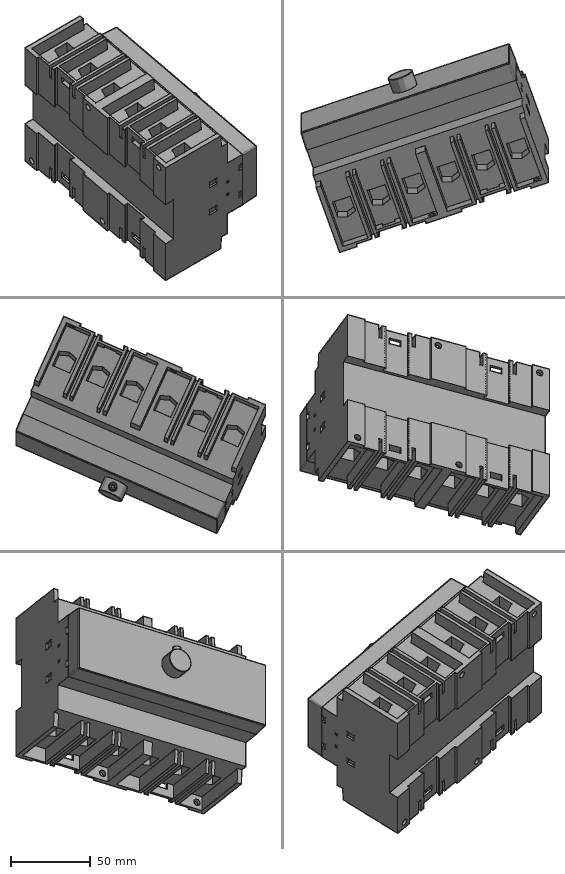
import cadquery as cq


housing_width = 139.7
housing_height = 100.0
wall_front_y = 45.2
wall_front_root_y = 45.9
shoulder_y = 50.5
neck_front_y = 62.8
neck_height = 45.0
terminal_depth = 10.0
terminal_floor_z = housing_height / 2 - terminal_depth

rail_channel_height = 34.6
rail_channel_depth = 6.6
pad_relief = 1.7
centre_pad_width = 24.1
end_pad_width = 11.8

pole_count = 6
pole_pitch = housing_width / pole_count
terminal_width = 16.8
outer_back_wall = 3.1
middle_back_wall = 6.5
back_recess_depth = 4.8
back_recess_lip_width = 15.1
back_recess_lip_y = 2.5
middle_poles = (1, 4)

slot_width = 2.2
slot_offsets = (23.4, 46.4)

clamp_width = 11.9
clamp_rear_y = 19.9
clamp_tip_length = 2.1
clamp_front_y = 30.0
clamp_depth = 12.6
window_width = 8.1
window_height = 4.3
screw_hole_diameter = 4.3
screw_hole_z = 45.0
upper_hole_xs = (-7.2, 63.0)

end_recess_depth = 1.4
latch_length = 6.2
latch_height = 4.8
latch_z = 12.0
latch_y = 39.1
covered_latch_rear_y = 60.2
peg_length = 1.8
peg_height = 1.4
peg_y = 51.2
peg_z = 5.6

cover_width = 140.2
cover_height = neck_height
cover_front_y = 75.0
cover_taper = 2.0
cover_corner_radius = 0.8
cover_chamfer_depth = 0.7
cover_chamfer_inset = 0.4

shaft_diameter = 16.0
shaft_front_y = 84.5
shaft_chamfer = 0.3
screw_diameter = 5.3
screw_bore = 2.5
screw_top_z = 11.2
screw_chamfer = 0.4
screw_y = 80.1


def box(x_range, y_range, z_range):
    """Block between two limits on each axis."""
    lengths = [high - low for low, high in (x_range, y_range, z_range)]
    corner = (x_range[0], y_range[0], z_range[0])
    return cq.Workplane("XY").box(*lengths, centered=False).translate(corner)


def centred(middle, length):
    """Limits of a length placed about a middle value."""
    return (middle - length / 2, middle + length / 2)


def both_sides(shape):
    """The shape and its mirror image in the Z = 0 plane, as one cutter."""
    return shape.union(shape.mirror("XY"))


def pole_x(pole):
    """Middle of a pole, counted from the -X end."""
    return (pole - (pole_count - 1) / 2) * pole_pitch


def housing_block():
    """Stepped side outline, with the rail channel, run along the whole width."""
    top_z = housing_height / 2
    neck_z = neck_height / 2
    rail_z = rail_channel_height / 2
    upper = [
        (rail_channel_depth, rail_z),
        (0, rail_z),
        (0, top_z),
        (wall_front_y, top_z),
        (wall_front_root_y, terminal_floor_z),
        (shoulder_y, terminal_floor_z),
        (shoulder_y, neck_z),
        (neck_front_y, neck_z),
    ]
    lower = [(y, -z) for y, z in reversed(upper)]
    outline = cq.Workplane("YZ").polyline(upper + lower).close()
    return outline.extrude(housing_width / 2, both=True)


def back_relief():
    """Shallow relief that leaves pads at the two ends and the middle of the back."""
    inner_x = centre_pad_width / 2
    outer_x = housing_width / 2 - end_pad_width
    full_z = (-housing_height / 2, housing_height / 2)
    right = box((inner_x, outer_x), (0, pad_relief), full_z)
    return right.union(right.mirror("YZ"))


def back_recess(pole):
    """Deeper recess behind a middle pole, with lips that narrow its mouth."""
    full_z = (-housing_height / 2, housing_height / 2)
    mouth = box(centred(pole_x(pole), back_recess_lip_width), (0, back_recess_depth), full_z)
    inside = box(centred(pole_x(pole), terminal_width), (back_recess_lip_y, back_recess_depth), full_z)
    return mouth.union(inside)


def terminal(pole):
    """Open terminal bay with its pointed clamp opening in the floor, upper side."""
    rear_y = middle_back_wall if pole in middle_poles else outer_back_wall
    x = pole_x(pole)
    bay = box(centred(x, terminal_width), (rear_y, shoulder_y), (terminal_floor_z, housing_height / 2))
    half = clamp_width / 2
    clamp = (
        cq.Workplane("XY", origin=(x, 0, terminal_floor_z))
        .polyline([
            (-half, clamp_front_y),
            (-half, clamp_rear_y),
            (0, clamp_rear_y - clamp_tip_length),
            (half, clamp_rear_y),
            (half, clamp_front_y),
        ])
        .close()
        .extrude(-clamp_depth)
    )
    return bay.union(clamp)


def separating_slot(x):
    """Gap between the walls of two neighbouring poles, upper side."""
    return box(centred(x, slot_width), (0, shoulder_y), (terminal_floor_z, housing_height / 2))


def back_window(pole):
    """Rectangular window through the rear wall of a middle pole, upper side."""
    z_range = (terminal_floor_z, terminal_floor_z + window_height)
    return box(centred(pole_x(pole), window_width), (0, middle_back_wall), z_range)


def mounting_hole(x, z):
    """Round hole through the rear wall of a terminal."""
    hole = cq.Workplane("XZ", origin=(x, 0, z)).circle(screw_hole_diameter / 2)
    return hole.extrude(-outer_back_wall)


def end_recesses():
    """Latch and peg recesses in both end faces."""
    x_range = (housing_width / 2 - end_recess_depth, housing_width / 2)
    latch_z_range = centred(latch_z, latch_height)
    latch = box(x_range, centred(latch_y, latch_length), latch_z_range)
    covered_latch = box(x_range, (covered_latch_rear_y, neck_front_y), latch_z_range)
    peg = box(x_range, centred(peg_y, peg_length), centred(peg_z, peg_height))
    right = both_sides(latch.union(covered_latch).union(peg))
    return right.union(right.mirror("YZ"))


def make_housing():
    """Housing block with every relief, bay, slot, window and hole cut out of it."""
    housing = housing_block().cut(back_relief()).cut(end_recesses())
    for pole in range(pole_count):
        housing = housing.cut(both_sides(terminal(pole)))
    for pole in middle_poles:
        housing = housing.cut(back_recess(pole)).cut(both_sides(back_window(pole)))
    for offset in slot_offsets:
        for x in (-offset, offset):
            housing = housing.cut(both_sides(separating_slot(x)))
    for x in upper_hole_xs:
        housing = housing.cut(mounting_hole(x, screw_hole_z))
        housing = housing.cut(mounting_hole(-x, -screw_hole_z))
    return housing


def make_cover():
    """Cap on the front of the neck: drafted sides, rounded corners, chamfered front."""
    return (
        cq.Workplane("XZ", origin=(0, neck_front_y, 0))
        .rect(cover_width, cover_height)
        .extrude(-(cover_front_y - neck_front_y), taper=cover_taper)
        .edges("not(#Y)")
        .fillet(cover_corner_radius)
        .faces(">Y")
        .chamfer(cover_chamfer_depth, cover_chamfer_inset)
    )


def make_shaft():
    """Round shaft standing on the front of the cover, with a chamfered end."""
    return (
        cq.Workplane("XZ", origin=(0, cover_front_y, 0))
        .circle(shaft_diameter / 2)
        .extrude(-(shaft_front_y - cover_front_y))
        .faces(">Y")
        .chamfer(shaft_chamfer)
    )


def make_screw(shaft):
    """Bored, chamfered screw head seated on the round side of the shaft."""
    screw = (
        cq.Workplane("XY", origin=(0, screw_y, 0))
        .circle(screw_diameter / 2)
        .extrude(screw_top_z)
        .faces(">Z")
        .chamfer(screw_chamfer)
        .faces(">Z")
        .workplane()
        .hole(screw_bore)
    )
    return screw.cut(shaft)


housing = make_housing()
cover = make_cover()
shaft = make_shaft()
screw = make_screw(shaft)

result = cq.Compound.makeCompound([housing.val(), cover.val(), shaft.val(), screw.val()])